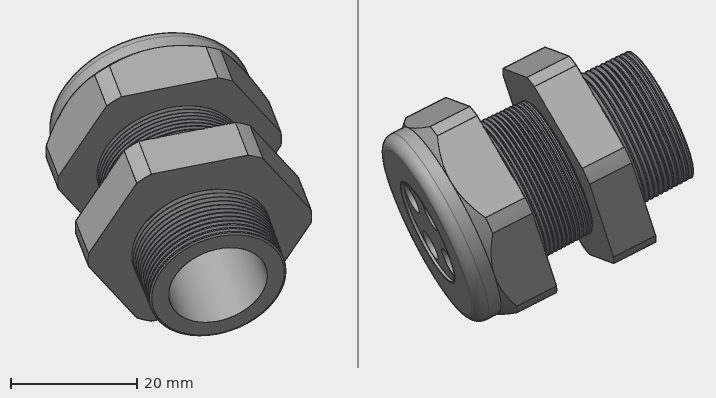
import cadquery as cq
import math

LENGTH = 41.9

ACROSS_FLATS = 33.03
CORNER_RADIUS = 36.65 / 2

CAP_LENGTH = 13.25
RIM_RADIUS = ACROSS_FLATS / 2
RIM_FILLET = 2.0
RIM_LENGTH = 4.2
SHOULDER_LENGTH = 1.9

COLLAR_START = 23.5
COLLAR_LENGTH = 7.6
COLLAR_END = COLLAR_START + COLLAR_LENGTH

FLANK_SLOPE = math.tan(math.radians(60))
FIRST_TIP_CUT = 0.05
LAST_TIP_CUT = 0.25

FRONT_TIP_RADIUS = 12.0
FRONT_PITCH = 0.75
FRONT_FIRST_CREST = CAP_LENGTH
FRONT_RINGS = 14

REAR_TIP_RADIUS = 11.45
REAR_PITCH = 0.9
REAR_FIRST_CREST = 31.9
REAR_RINGS = 12

NECK_RADIUS = 10.5
NECK_MIDPOINT = (31.55, 10.73)

INSERT_RADIUS = 9.0
INSERT_LENGTH = CAP_LENGTH
BORE_RADIUS = 8.1
SEAT_LENGTH = INSERT_RADIUS - BORE_RADIUS
RECESS_RADIUS = 8.75
RECESS_DEPTH = 0.5
CABLE_HOLES = 4
CABLE_HOLE_RADIUS = 2.5
CABLE_CIRCLE_RADIUS = 6.2


def revolve_about_x(profile):
    """Turn a closed profile, drawn as (x, radius) in the XY plane, about the X axis."""
    return profile.close().revolve(360, (0, 0, 0), (1, 0, 0))


def cylinder(radius, start, end):
    return cq.Workplane("YZ", origin=(start, 0, 0)).circle(radius).extrude(end - start)


def hexagon(start, end):
    """Hexagonal prism with flats on top and bottom and its corners pointing along Y."""
    across_corners = ACROSS_FLATS / math.cos(math.radians(30))
    return cq.Workplane("YZ", origin=(start, 0, 0)).polygon(6, across_corners).extrude(end - start)


def make_cap():
    blend = RIM_FILLET * (1 - math.sqrt(0.5))
    envelope = revolve_about_x(
        cq.Workplane("XY")
        .moveTo(0, 0)
        .lineTo(0, RIM_RADIUS - RIM_FILLET)
        .threePointArc((blend, RIM_RADIUS - blend), (RIM_FILLET, RIM_RADIUS))
        .lineTo(RIM_LENGTH, RIM_RADIUS)
        .lineTo(RIM_LENGTH + SHOULDER_LENGTH, CORNER_RADIUS)
        .lineTo(CAP_LENGTH, CORNER_RADIUS)
        .lineTo(CAP_LENGTH, 0)
    )
    return envelope.intersect(hexagon(0, CAP_LENGTH))


def make_collar():
    return hexagon(COLLAR_START, COLLAR_END).intersect(
        cylinder(CORNER_RADIUS, COLLAR_START, COLLAR_END)
    )


def root_radius(tip_radius, pitch):
    return tip_radius - FLANK_SLOPE * pitch / 2


def thread_points(first_crest, pitch, rings, tip_radius):
    """Rings with cut tips and the roots between them, as (x, radius) points."""
    points = []
    for ring in range(rings):
        crest = first_crest + ring * pitch
        tip_cut = FIRST_TIP_CUT + (LAST_TIP_CUT - FIRST_TIP_CUT) * ring / (rings - 1)
        half_flat = tip_cut / FLANK_SLOPE
        if ring > 0:
            points.append((crest - pitch / 2, root_radius(tip_radius, pitch)))
            points.append((crest - half_flat, tip_radius - tip_cut))
        points.append((crest + half_flat, tip_radius - tip_cut))
    return points


def make_front_thread():
    rings = thread_points(FRONT_FIRST_CREST, FRONT_PITCH, FRONT_RINGS, FRONT_TIP_RADIUS)
    last_crest = FRONT_FIRST_CREST + (FRONT_RINGS - 1) * FRONT_PITCH
    root = root_radius(FRONT_TIP_RADIUS, FRONT_PITCH)
    return revolve_about_x(
        cq.Workplane("XY")
        .moveTo(CAP_LENGTH, 0)
        .lineTo(CAP_LENGTH, FRONT_TIP_RADIUS - FIRST_TIP_CUT)
        .polyline(rings, includeCurrent=True)
        .lineTo(last_crest + FRONT_PITCH / 2, root)
        .lineTo(COLLAR_START, root)
        .lineTo(COLLAR_START, 0)
    )


def make_rear_thread():
    rings = thread_points(REAR_FIRST_CREST, REAR_PITCH, REAR_RINGS, REAR_TIP_RADIUS)
    last_crest = REAR_FIRST_CREST + (REAR_RINGS - 1) * REAR_PITCH
    end_radius = REAR_TIP_RADIUS - FLANK_SLOPE * (LENGTH - last_crest)
    return revolve_about_x(
        cq.Workplane("XY")
        .moveTo(COLLAR_END, 0)
        .lineTo(COLLAR_END, NECK_RADIUS)
        .threePointArc(NECK_MIDPOINT, rings[0])
        .polyline(rings[1:], includeCurrent=True)
        .lineTo(LENGTH, end_radius)
        .lineTo(LENGTH, 0)
    )


def make_bore():
    seat_end = INSERT_LENGTH + SEAT_LENGTH
    return revolve_about_x(
        cq.Workplane("XY")
        .moveTo(0, 0)
        .lineTo(0, INSERT_RADIUS)
        .lineTo(INSERT_LENGTH, INSERT_RADIUS)
        .lineTo(seat_end, BORE_RADIUS)
        .lineTo(LENGTH, BORE_RADIUS)
        .lineTo(LENGTH, 0)
    )


def make_housing():
    outside = make_cap().union(make_front_thread()).union(make_collar()).union(make_rear_thread())
    return outside.cut(make_bore())


def make_insert():
    plug = cylinder(INSERT_RADIUS, 0, INSERT_LENGTH).cut(cylinder(RECESS_RADIUS, 0, RECESS_DEPTH))
    holes = (
        cq.Workplane("YZ")
        .polarArray(CABLE_CIRCLE_RADIUS, 0, 360, CABLE_HOLES)
        .circle(CABLE_HOLE_RADIUS)
        .extrude(INSERT_LENGTH)
    )
    return plug.cut(holes)


housing = make_housing()
insert = make_insert()

result = cq.Compound.makeCompound([housing.val(), insert.val()])